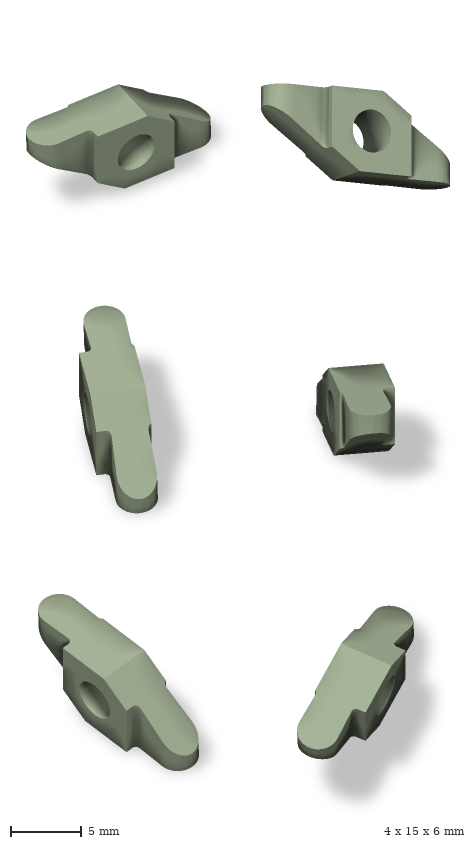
import cadquery as cq
import math

WIDTH = 4.0
LENGTH = 15.0
HEIGHT = 6.0

SLOPE_ANGLE = 35.0
TIP_HEIGHT = 1.42

NOSE_RADIUS = 1.52
NOSE_X = 1.62 - WIDTH / 2
RIGHT_SHOULDER_Y = 3.22
LEFT_SHOULDER_Y = 3.15
NECK_FILLET = 0.36
NECK_TAPER = math.radians(1.5)
DRAFT = math.radians(1.5)

HOLE_DIAMETER = 3.1
SIDE_MARGIN = 0.3


def nose_outline(plane_z, inset):
    """Outline of the -Y half of the part with both nose walls moved in by inset.

    Each side of the nose is a quarter arc shifted sideways, so the tip line stays upright.
    """
    nose_y = NOSE_RADIUS - LENGTH / 2
    tip_y = nose_y - math.sqrt(NOSE_RADIUS**2 - inset**2)
    tangent_x = NOSE_RADIUS * math.cos(NECK_TAPER) - inset
    tangent_y = nose_y + NOSE_RADIUS * math.sin(NECK_TAPER)
    arc_middle_x = NOSE_RADIUS * math.sqrt(0.5) - inset
    arc_middle_y = nose_y - NOSE_RADIUS * math.sqrt(0.5)

    right_fillet_y = -RIGHT_SHOULDER_Y - NECK_FILLET
    left_fillet_y = -LEFT_SHOULDER_Y - NECK_FILLET
    neck_right = NOSE_X + tangent_x - (right_fillet_y - tangent_y) * math.tan(NECK_TAPER)
    neck_left = NOSE_X - tangent_x + (left_fillet_y - tangent_y) * math.tan(NECK_TAPER)
    fillet_inset = NECK_FILLET * (1 - math.sqrt(0.5))
    right_side = WIDTH / 2
    left_side = -WIDTH / 2 - SIDE_MARGIN
    return (
        cq.Workplane("XY", origin=(0, 0, plane_z))
        .moveTo(right_side, 0)
        .lineTo(right_side, -RIGHT_SHOULDER_Y)
        .lineTo(neck_right + NECK_FILLET, -RIGHT_SHOULDER_Y)
        .threePointArc(
            (neck_right + fillet_inset, -RIGHT_SHOULDER_Y - fillet_inset),
            (neck_right, right_fillet_y),
        )
        .lineTo(NOSE_X + tangent_x, tangent_y)
        .threePointArc((NOSE_X + arc_middle_x, arc_middle_y), (NOSE_X, tip_y))
        .threePointArc((NOSE_X - arc_middle_x, arc_middle_y), (NOSE_X - tangent_x, tangent_y))
        .lineTo(neck_left, left_fillet_y)
        .threePointArc(
            (neck_left - fillet_inset, -LEFT_SHOULDER_Y - fillet_inset),
            (neck_left - NECK_FILLET, -LEFT_SHOULDER_Y),
        )
        .lineTo(left_side, -LEFT_SHOULDER_Y)
        .lineTo(left_side, 0)
        .close()
        .val()
    )


def drafted_half():
    """The -Y half, largest at the top and narrowing downward."""
    lower = nose_outline(-HEIGHT / 2, HEIGHT * math.tan(DRAFT))
    upper = nose_outline(HEIGHT / 2, 0)
    return cq.Workplane(cq.Solid.makeLoft([lower, upper], True))


def side_profile():
    """Six-sided profile along Y and Z, extruded across the full width."""
    tip_y = LENGTH / 2
    top_z = HEIGHT / 2
    tip_z = top_z - TIP_HEIGHT
    corner_y = tip_y - (HEIGHT - TIP_HEIGHT) / math.tan(math.radians(SLOPE_ANGLE))
    points = [
        (-tip_y, top_z),
        (corner_y, top_z),
        (tip_y, -tip_z),
        (tip_y, -top_z),
        (-corner_y, -top_z),
        (-tip_y, tip_z),
    ]
    return cq.Workplane("YZ").polyline(points).close().extrude(WIDTH / 2, both=True)


half = drafted_half()
other_half = half.rotate((0, 0, 0), (1, 0, 0), 180)
body = half.union(other_half).intersect(side_profile())

hole = cq.Workplane("YZ", origin=(-WIDTH / 2, 0, 0)).circle(HOLE_DIAMETER / 2).extrude(WIDTH)
result = body.cut(hole).clean()